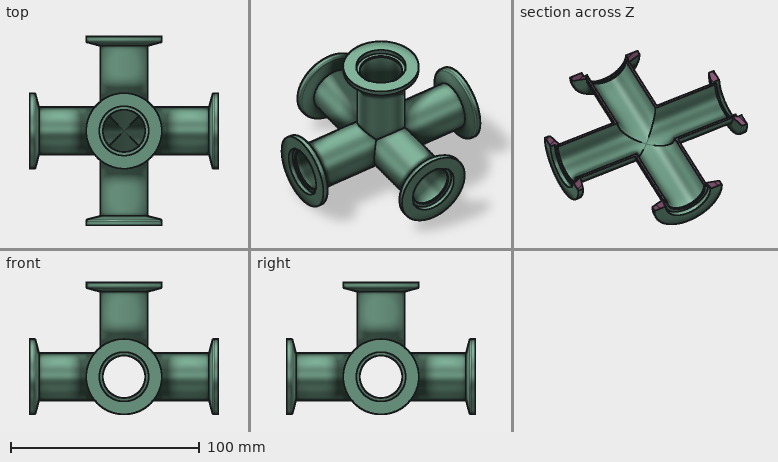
import cadquery as cq
import math

port_distance = 50.0

tube_outer_radius = 25.4 / 2
bore_radius = 22.4 / 2

flange_radius = 40.0 / 2
flange_length = 5.0
cone_angle = 15.0
rim_rounding = 1.0
recess_radius = 26.2 / 2
recess_depth = 2.6
lip_thickness = 1.0

socket_depth = recess_depth + lip_thickness
tube_length = port_distance - socket_depth

port_directions = [(1, 0, 0), (-1, 0, 0), (0, 1, 0), (0, -1, 0), (0, 0, 1)]


def branch_cylinder(direction, radius):
    """Cylinder from the centre of the cross to one tube end."""
    plane = cq.Plane(origin=(0, 0, 0), normal=direction)
    return cq.Workplane(plane).circle(radius).extrude(tube_length)


def joined_branches(radius):
    """One cylinder per port, joined where they cross at the centre."""
    branches = branch_cylinder(port_directions[0], radius)
    for direction in port_directions[1:]:
        branches = branches.union(branch_cylinder(direction, radius))
    return branches


def make_tube_cross():
    """Five-way tube whose branches and bores all meet at the centre."""
    return joined_branches(tube_outer_radius).cut(joined_branches(bore_radius))


def make_flange(direction):
    """Clamp flange with a conical back, a recessed face, an inner lip and a socket for the tube end."""
    turn_angle = 90 - cone_angle
    turn = math.radians(turn_angle)
    cone_drop = (flange_radius - tube_outer_radius) * math.tan(math.radians(cone_angle))
    rim_width = flange_length - cone_drop - rim_rounding * math.tan(turn / 2)
    rounding_centre = flange_radius - rim_rounding

    def rounding_point(angle):
        """Point on the rim rounding as radius and depth."""
        return (
            rounding_centre + rim_rounding * math.cos(angle),
            rim_width + rim_rounding * math.sin(angle),
        )

    port_face = cq.Vector(*direction) * port_distance
    across = (0, 0, 1) if direction[2] == 0 else (1, 0, 0)
    inward = cq.Vector(*direction) * -1
    section_plane = cq.Plane(origin=port_face, xDir=across, normal=cq.Vector(*across).cross(inward))
    section = (
        cq.Workplane(section_plane)
        .moveTo(recess_radius, 0)
        .lineTo(flange_radius, 0)
        .lineTo(flange_radius, rim_width)
        .threePointArc(rounding_point(turn / 2), rounding_point(turn))
        .lineTo(tube_outer_radius, flange_length)
        .lineTo(tube_outer_radius, socket_depth)
        .lineTo(bore_radius, socket_depth)
        .lineTo(bore_radius, recess_depth)
        .lineTo(recess_radius, recess_depth)
        .close()
    )
    return section.revolve(360, (0, 0, 0), (0, 1, 0))


tube_cross = make_tube_cross()
flanges = [make_flange(direction) for direction in port_directions]

result = cq.Compound.makeCompound([tube_cross.val(), *[flange.val() for flange in flanges]])